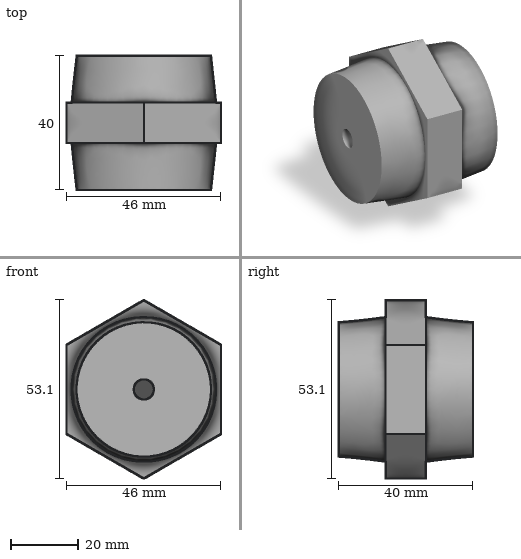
import cadquery as cq
import math

corner_width = 53.1
length = 40.0
collar_length = 12.0
end_diameter = 40.0
root_diameter = 43.05
hole_diameter = 6.0
hole_depth = 10.0

half_length = length / 2
half_collar = collar_length / 2


def tapered_body():
    """Double cone, widest at the collar, revolved about the Y axis."""
    end_radius = end_diameter / 2
    root_radius = root_diameter / 2
    return (
        cq.Workplane("XY")
        .moveTo(0, -half_length)
        .lineTo(end_radius, -half_length)
        .lineTo(root_radius, -half_collar)
        .lineTo(root_radius, half_collar)
        .lineTo(end_radius, half_length)
        .lineTo(0, half_length)
        .close()
        .revolve(360, (0, 0, 0), (0, 1, 0))
    )


def hex_collar():
    """Hexagonal collar centred along the length."""
    corner_radius = corner_width / 2
    corners = []
    for index in range(6):
        angle = math.radians(90 + 60 * index)
        corners.append((corner_radius * math.cos(angle), corner_radius * math.sin(angle)))
    return cq.Workplane("XZ").polyline(corners).close().extrude(half_collar, both=True)


def end_hole(side):
    """Blind hole entering from the end at the given side (-1 or 1) along Y."""
    end_face = cq.Plane(origin=(0, side * half_length, 0), xDir=(1, 0, 0), normal=(0, -side, 0))
    return cq.Workplane(end_face).circle(hole_diameter / 2).extrude(hole_depth)


result = tapered_body().union(hex_collar())
for side in (-1, 1):
    result = result.cut(end_hole(side))